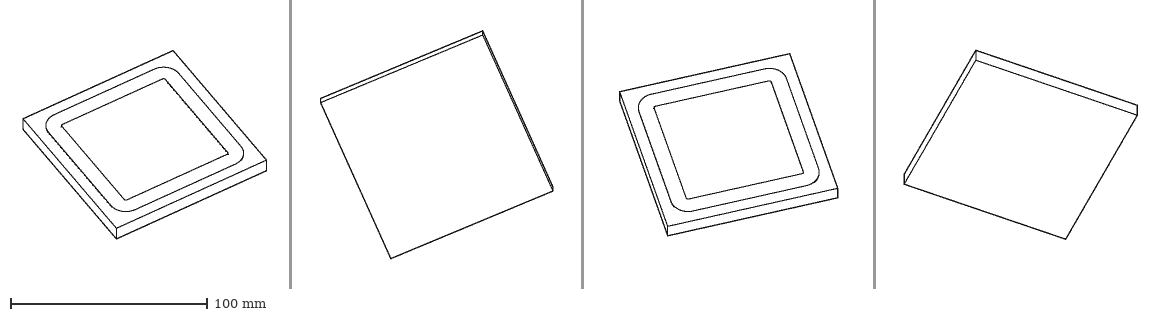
import cadquery as cq

plate_side = 90.0
plate_thickness = 8.0

groove_radius = 4.0
groove_path_side = 70.0
groove_path_corner_radius = 5.0


def make_plate():
    """Plate centred on the Z axis, standing on Z = 0."""
    return cq.Workplane("XY").box(plate_side, plate_side, plate_thickness, centered=(True, True, False))


def make_groove():
    """Ring of circular section, centred on the top face, whose lower half cuts the groove."""
    half_path = groove_path_side / 2
    straight_end = half_path - groove_path_corner_radius
    path = (
        cq.Workplane("XY", origin=(0, 0, plate_thickness))
        .moveTo(-half_path, -straight_end)
        .lineTo(-half_path, straight_end)
        .radiusArc((-straight_end, half_path), groove_path_corner_radius)
        .lineTo(straight_end, half_path)
        .radiusArc((half_path, straight_end), groove_path_corner_radius)
        .lineTo(half_path, -straight_end)
        .radiusArc((straight_end, -half_path), groove_path_corner_radius)
        .lineTo(-straight_end, -half_path)
        .radiusArc((-half_path, -straight_end), groove_path_corner_radius)
    )
    section = cq.Workplane("XZ", origin=(-half_path, -straight_end, plate_thickness)).circle(groove_radius)
    return section.sweep(path)


result = make_plate().cut(make_groove())